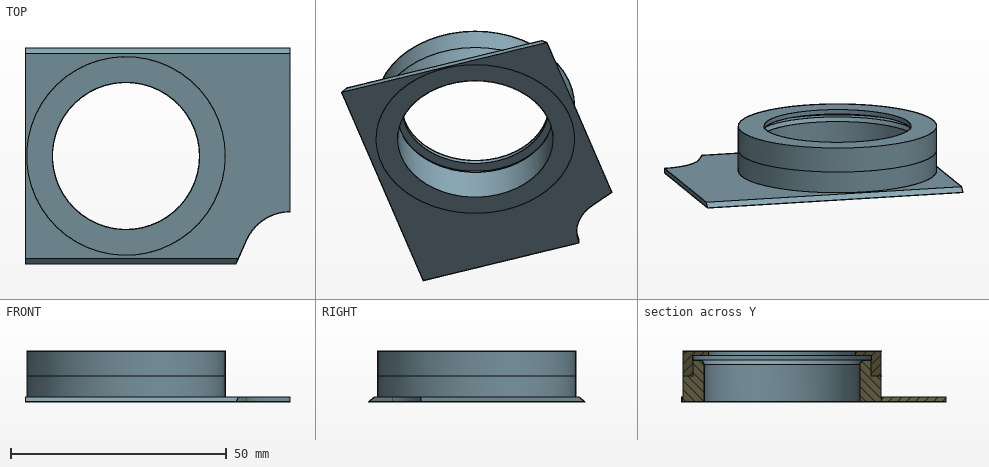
import math

import cadquery as cq

plate_length = 61.3
plate_width = 50.0
plate_thickness = 1.1
edge_bevel = 1.3

ring_diameter = 46.0
ring_left_margin = 0.3
total_height = 11.7
joint_height = 6.0

bore_diameter = 36.0
spigot_diameter = 41.4
spigot_height = 9.6
countersink_diameter = 37.0
countersink_depth = 1.0

cap_opening_diameter = 34.0
lip_thickness = 1.05

notch_depth = 12.1
notch_radius = 11.05
notch_line_angle = math.radians(24)

plate_left = -ring_diameter / 2 - ring_left_margin
plate_right = plate_left + plate_length
plate_front = -plate_width / 2


def cylinder(diameter, bottom, top):
    return cq.Workplane("XY").workplane(offset=bottom).circle(diameter / 2).extrude(top - bottom)


def make_notch():
    center_y = plate_front + notch_depth - notch_radius

    def arc_point(angle):
        return (
            plate_right - notch_radius * math.cos(angle),
            center_y + notch_radius * math.sin(angle),
        )

    tangent_x, tangent_y = arc_point(notch_line_angle)
    front_x = tangent_x - (tangent_y - plate_front) * math.tan(notch_line_angle)
    arc_middle_angle = (notch_line_angle + math.pi / 2) / 2
    return (
        cq.Workplane("XY")
        .moveTo(plate_right, plate_front)
        .lineTo(front_x, plate_front)
        .lineTo(tangent_x, tangent_y)
        .threePointArc(arc_point(arc_middle_angle), (plate_right, plate_front + notch_depth))
        .close()
        .extrude(plate_thickness)
    )


def make_plate():
    half_bottom = plate_width / 2
    half_top = half_bottom - edge_bevel
    blank = (
        cq.Workplane("YZ", origin=(plate_left, 0, 0))
        .polyline([
            (-half_bottom, 0),
            (half_bottom, 0),
            (half_top, plate_thickness),
            (-half_top, plate_thickness),
        ])
        .close()
        .extrude(plate_length)
    )
    return blank.cut(make_notch()).cut(cylinder(ring_diameter, 0, plate_thickness))


def make_holder():
    ring_radius = ring_diameter / 2
    spigot_radius = spigot_diameter / 2
    bore_radius = bore_diameter / 2
    return (
        cq.Workplane("XZ")
        .polyline([
            (bore_radius, 0),
            (ring_radius, 0),
            (ring_radius, joint_height),
            (spigot_radius, joint_height),
            (spigot_radius, spigot_height),
            (countersink_diameter / 2, spigot_height),
            (bore_radius, spigot_height - countersink_depth),
        ])
        .close()
        .revolve(360, (0, 0, 0), (0, 1, 0))
    )


def make_cap():
    return (
        cylinder(ring_diameter, joint_height, total_height)
        .cut(cylinder(spigot_diameter, joint_height, total_height - lip_thickness))
        .cut(cylinder(cap_opening_diameter, joint_height, total_height))
    )


plate = make_plate()
holder = make_holder()
cap = make_cap()
result = cq.Compound.makeCompound([plate.val(), holder.val(), cap.val()])